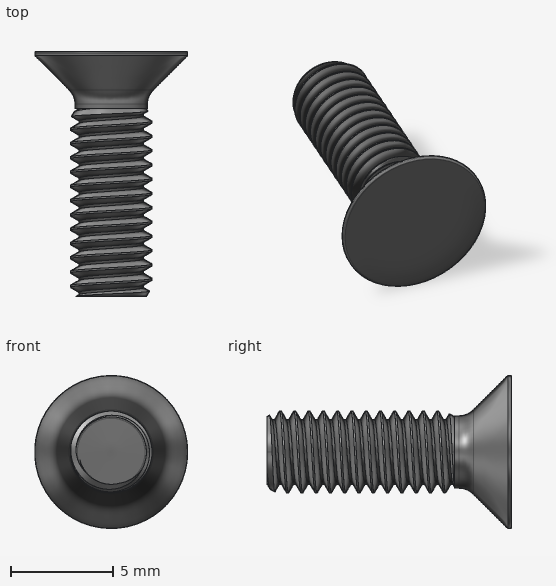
import cadquery as cq
import math

total_length = 12.0

crest_radius = 2.0
root_radius = 1.58
twelve_pitches = 8.4
pitch = twelve_pitches / 12
flank_angle = math.radians(30)
crest_flat = pitch / 8
root_flat = pitch - crest_flat - 2 * (crest_radius - root_radius) * math.tan(flank_angle)
first_crest_height = 0.15
groove_overshoot = 0.04
rod_seam_angle = 90
thread_top = 9.2

taper_end_radius = 1.73
taper_length = 0.48

dish_radius = 1.65
dish_depth = 0.06

neck_radius = 1.78
fillet_start = 9.42
fillet_radius = 1.0
cone_angle = math.radians(45)
head_radius = 7.5 / 2
rim_fillet = 0.08


def revolve_profile(profile):
    """Turn a closed profile drawn in radius and height about the Z axis."""
    return profile.close().revolve(360, (0, 0, 0), (0, 1, 0))


def thread_groove():
    """Right-handed helical V groove that runs out past both ends of the thread."""
    outer_radius = crest_radius + groove_overshoot
    root_half_width = root_flat / 2
    outer_half_width = root_half_width + (outer_radius - root_radius) * math.tan(flank_angle)
    start = first_crest_height - 1.5 * pitch
    turns = math.ceil(thread_top / pitch) + 2
    helix = cq.Wire.makeHelix(pitch, turns * pitch, root_radius, cq.Vector(0, 0, start))
    return (
        cq.Workplane("XZ")
        .moveTo(root_radius, start - root_half_width)
        .lineTo(outer_radius, start - outer_half_width)
        .lineTo(outer_radius, start + outer_half_width)
        .lineTo(root_radius, start + root_half_width)
        .close()
        .sweep(cq.Workplane(obj=helix), isFrenet=True)
    )


def end_taper(end_height, inward):
    """Ring that tapers one end of the thread; inward is +1 or -1 along Z."""
    clearance = 0.24
    taper_slope = (crest_radius - taper_end_radius) / taper_length
    outer_radius = crest_radius + clearance
    inner_height = end_height + inward * (taper_length + clearance / taper_slope)
    outside_radius = taper_end_radius - clearance * taper_slope
    outside_height = end_height - inward * clearance
    return revolve_profile(
        cq.Workplane("XZ")
        .moveTo(outside_radius, outside_height)
        .lineTo(outer_radius, outside_height)
        .lineTo(outer_radius, inner_height)
    )


def end_dish():
    """Shallow cone hollowing the end face."""
    return revolve_profile(
        cq.Workplane("XZ").moveTo(0, 0).lineTo(dish_radius, 0).lineTo(0, dish_depth)
    )


def threaded_shank():
    """Grooved rod, tapered at both ends and dished at the point."""
    rod = cq.Workplane("XY").circle(crest_radius).extrude(thread_top)
    rod = rod.rotate((0, 0, 0), (0, 0, 1), rod_seam_angle)
    thread = rod.cut(thread_groove())
    thread = thread.cut(end_taper(0, 1))
    thread = thread.cut(end_taper(thread_top, -1))
    return thread.cut(end_dish())


def neck_and_head():
    """Neck blending through a fillet into the countersunk head with its thin rim."""
    cone_start_radius = neck_radius + fillet_radius * (1 - math.cos(cone_angle))
    cone_start = fillet_start + fillet_radius * math.sin(cone_angle)
    rim_bottom = cone_start + (head_radius - cone_start_radius) / math.tan(cone_angle)
    arc_middle = (
        neck_radius + fillet_radius * (1 - math.cos(cone_angle / 2)),
        fillet_start + fillet_radius * math.sin(cone_angle / 2),
    )
    profile = (
        cq.Workplane("XZ")
        .moveTo(0, thread_top)
        .lineTo(neck_radius, thread_top)
        .lineTo(neck_radius, fillet_start)
        .threePointArc(arc_middle, (cone_start_radius, cone_start))
        .lineTo(head_radius, rim_bottom)
        .lineTo(head_radius, total_length)
        .lineTo(0, total_length)
    )
    return revolve_profile(profile).faces(">Z").edges().fillet(rim_fillet)


screw = threaded_shank().union(neck_and_head())
result = screw.rotate((0, 0, 0), (1, 0, 0), -90)